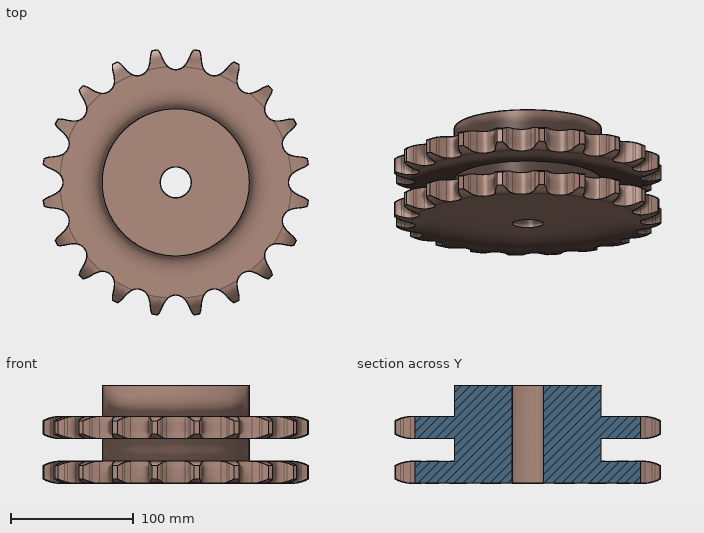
import cadquery as cq
import math


TOOTH_COUNT = 20
CHAIN_PITCH = 31.8
ROLLER_DIAMETER = 19.0

OVERALL_WIDTH = 216
OVERALL_HEIGHT = 80
HUB_DIAMETER = 120.0
BORE_DIAMETER = 25.0

PLATE_THICKNESS = 18.2
STRAND_SPACING = 36.5

SEAT_CLEARANCE = 0.095
SEAT_RADIUS = ROLLER_DIAMETER / 2 + SEAT_CLEARANCE
SEAT_HALF_ANGLE = math.radians(52)
WORKING_RADIUS = 24.8
WORKING_ANGLE = math.radians(15.2)
FLANK_LENGTH = 2.4
TIP_ARC_RADIUS = 15.8

RELIEF_RADIUS = CHAIN_PITCH
RELIEF_DEPTH = 14.7

TOOTH_ANGLE = 2 * math.pi / TOOTH_COUNT
PITCH_RADIUS = CHAIN_PITCH / 2 / math.sin(TOOTH_ANGLE / 2)


def point_below(center, radius, angle):
    """Point on a circle, with the angle measured from straight down towards +X."""
    return (center[0] + radius * math.sin(angle), center[1] - radius * math.cos(angle))


def half_gap_points():
    """Points from the gap root to the tooth tip on the +X side of the gap on +Y.

    Arc midpoints are included: root, seat end, working middle, working end,
    flank end, tip arc middle, tip corner.
    """
    seat_center = (0, PITCH_RADIUS)
    root = point_below(seat_center, SEAT_RADIUS, 0)
    seat_end = point_below(seat_center, SEAT_RADIUS, SEAT_HALF_ANGLE)

    flank_angle = SEAT_HALF_ANGLE + WORKING_ANGLE
    working_center = point_below(seat_end, -WORKING_RADIUS, SEAT_HALF_ANGLE)
    working_middle = point_below(working_center, WORKING_RADIUS, SEAT_HALF_ANGLE + WORKING_ANGLE / 2)
    working_end = point_below(working_center, WORKING_RADIUS, flank_angle)

    flank_end = (
        working_end[0] + FLANK_LENGTH * math.cos(flank_angle),
        working_end[1] + FLANK_LENGTH * math.sin(flank_angle),
    )

    tip_center = point_below(flank_end, TIP_ARC_RADIUS, flank_angle)
    corner_angle = math.acos((OVERALL_WIDTH / 2 - tip_center[1]) / TIP_ARC_RADIUS)
    tip_middle = point_below(tip_center, -TIP_ARC_RADIUS, (flank_angle + corner_angle) / 2)
    tip_corner = point_below(tip_center, -TIP_ARC_RADIUS, corner_angle)

    return [root, seat_end, working_middle, working_end, flank_end, tip_middle, tip_corner]


HALF_GAP = half_gap_points()
TIP_CORNER = HALF_GAP[-1]
TIP_RADIUS = math.hypot(*TIP_CORNER)


def turned(point, angle):
    """Point turned clockwise about the sprocket axis."""
    x, y = point
    return (
        x * math.cos(angle) + y * math.sin(angle),
        y * math.cos(angle) - x * math.sin(angle),
    )


def mirrored(point):
    return (-point[0], point[1])


def tooth_outline():
    outline = cq.Workplane("XY").moveTo(*mirrored(TIP_CORNER))
    for gap in range(TOOTH_COUNT):
        angle = gap * TOOTH_ANGLE
        right_side = [turned(point, angle) for point in HALF_GAP]
        left_side = [turned(mirrored(point), angle) for point in HALF_GAP]

        root, left_seat_end, working_middle, working_end, flank_end, tip_middle, _ = left_side
        outline = outline.threePointArc(tip_middle, flank_end).lineTo(*working_end)
        outline = outline.threePointArc(working_middle, left_seat_end)

        _, right_seat_end, working_middle, working_end, flank_end, tip_middle, tip_corner = right_side
        outline = outline.threePointArc(root, right_seat_end)
        outline = outline.threePointArc(working_middle, working_end).lineTo(*flank_end)
        outline = outline.threePointArc(tip_middle, tip_corner)

        tip_top = turned((0, TIP_RADIUS), angle + TOOTH_ANGLE / 2)
        next_corner = turned(mirrored(TIP_CORNER), angle + TOOTH_ANGLE)
        outline = outline.threePointArc(tip_top, next_corner)
    return outline.close()


def relieved_disc():
    """Disc whose rim is rounded on both sides down to a narrower edge."""
    relief_start = TIP_RADIUS - RELIEF_DEPTH
    relief_angle = math.asin(RELIEF_DEPTH / RELIEF_RADIUS)
    edge_drop = RELIEF_RADIUS * (1 - math.cos(relief_angle))
    middle_radius = relief_start + RELIEF_RADIUS * math.sin(relief_angle / 2)
    middle_drop = RELIEF_RADIUS * (1 - math.cos(relief_angle / 2))
    return (
        cq.Workplane("XZ")
        .lineTo(relief_start, 0)
        .threePointArc((middle_radius, middle_drop), (TIP_RADIUS, edge_drop))
        .lineTo(TIP_RADIUS, PLATE_THICKNESS - edge_drop)
        .threePointArc((middle_radius, PLATE_THICKNESS - middle_drop), (relief_start, PLATE_THICKNESS))
        .lineTo(0, PLATE_THICKNESS)
        .close()
        .revolve(360, (0, 0, 0), (0, 1, 0))
    )


def toothed_plate():
    return tooth_outline().extrude(PLATE_THICKNESS).intersect(relieved_disc())


hub = cq.Workplane("XY").circle(HUB_DIAMETER / 2).extrude(OVERALL_HEIGHT)
bore = cq.Workplane("XY").circle(BORE_DIAMETER / 2).extrude(OVERALL_HEIGHT)

lower_plate = toothed_plate()
upper_plate = lower_plate.translate((0, 0, STRAND_SPACING))

result = hub.union(lower_plate).union(upper_plate).cut(bore)